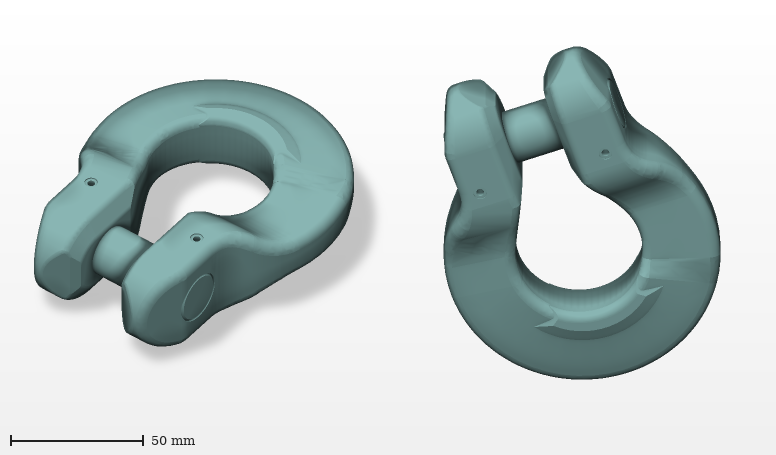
import cadquery as cq
import math


BOW_Y = 54.0
BOW_RADIUS = 52.0
EYE_Y = 50.4
EYE_RADIUS = 23.9

LEG_OUTER_X = 33.0
LEG_INNER_X = 9.5
LEG_HALF_HEIGHT = 19.0
SLOPE_START_Y = 15.3
SLOPE_END_Y = 41.3
TIP_Y = -7.0
CHAMFER_WIDTH = 4.5
CHAMFER_DEPTH = 7.4

SHOULDER_RADIUS = 33.0
NECK_RADIUS = 15.8
NECK_ANGLE = math.radians(45)
NECK_Y = 8.6
LEG_SIDE_END = (LEG_OUTER_X, TIP_Y)
TIP_TAPER_START = (32.5, -9.6)
TIP_OUTER = (24.7, -28.4)
TIP_INNER = (23.5, -27.3)
TIP_HEEL = (12.4, -19.9)
TIP_HEEL_TOP = (LEG_INNER_X, -16.9)
THROAT = (LEG_INNER_X, 13.7)

RIM_HALF_HEIGHT = 5.0
CONE_SLOPE = 0.245
APEX_HALF_HEIGHT = RIM_HALF_HEIGHT + CONE_SLOPE * BOW_RADIUS
FLAT_HALF_HEIGHT = 8.2
FLAT_END_ANGLE = 17.5
CONE_START_ANGLE = 31.6
CONE_END_ANGLE = 180.0

SEAT_HALF_HEIGHT = 12.4
SEAT_BASE_Z = 9.8
SEAT_BASE_RADIUS = 32.3
SEAT_HALF_ANGLE = 54.0
SEAT_TAPER = 63.0

OUTER_FILLET = 4.0
INNER_FILLET = 3.3
TIP_FILLET = 2.0

PIN_RADIUS = 10.0
PIN_CHAMFER = 0.9
LOCK_X = 25.0
LOCK_Y = 9.5
LOCK_RADIUS = 2.5
LOCK_BORE_RADIUS = 1.5
LOCK_HALF_LENGTH = 18.5

REACH = 79.2
BLANK_INNER_RADIUS = 13.2
BLANK_OUTER_RADIUS = BOW_RADIUS + 2.6


def circle_point(center_y, radius, angle):
    return (radius * math.cos(angle), center_y + radius * math.sin(angle))


def neck_point(angle):
    """Point on the concave neck arc, at an angle from its lower end."""
    return (
        LEG_OUTER_X + NECK_RADIUS * (1 - math.cos(angle)),
        NECK_Y + NECK_RADIUS * math.sin(angle),
    )


def prism(center_y, radius):
    """Tall round prism along Z, centred on X = 0."""
    return cq.Workplane(origin=(0, center_y, -REACH)).circle(radius).extrude(2 * REACH)


def outline_prism():
    """Tall prism of the whole shackle's outline."""
    neck_top = neck_point(NECK_ANGLE)
    normal = (math.cos(NECK_ANGLE), -math.sin(NECK_ANGLE))
    neck_distance = normal[0] * neck_top[0] + normal[1] * (neck_top[1] - BOW_Y)
    shoulder_offset = BOW_RADIUS - SHOULDER_RADIUS
    bow_end = NECK_ANGLE - math.acos((neck_distance - SHOULDER_RADIUS) / shoulder_offset)
    shoulder_x, shoulder_y = circle_point(BOW_Y, shoulder_offset, -bow_end)
    shoulder_end = (
        shoulder_x + SHOULDER_RADIUS * normal[0],
        shoulder_y + SHOULDER_RADIUS * normal[1],
    )
    throat_drop = EYE_Y - THROAT[1]
    throat_distance = math.hypot(THROAT[0], throat_drop)
    eye_end = math.acos(EYE_RADIUS / throat_distance) - math.atan2(throat_drop, THROAT[0])

    top = math.pi / 2
    half = (
        cq.Workplane(origin=(0, 0, -REACH))
        .moveTo(0, BOW_Y + BOW_RADIUS)
        .threePointArc(
            circle_point(BOW_Y, BOW_RADIUS, (top - bow_end) / 2),
            circle_point(BOW_Y, BOW_RADIUS, -bow_end),
        )
        .tangentArcPoint(shoulder_end, relative=False)
        .lineTo(*neck_top)
        .threePointArc(neck_point(NECK_ANGLE / 2), (LEG_OUTER_X, NECK_Y))
        .lineTo(*LEG_SIDE_END)
        .tangentArcPoint(TIP_TAPER_START, relative=False)
        .lineTo(*TIP_OUTER)
        .lineTo(*TIP_INNER)
        .lineTo(*TIP_HEEL)
        .lineTo(*TIP_HEEL_TOP)
        .lineTo(*THROAT)
        .lineTo(*circle_point(EYE_Y, EYE_RADIUS, eye_end))
        .threePointArc(
            circle_point(EYE_Y, EYE_RADIUS, (top + eye_end) / 2),
            (0, EYE_Y + EYE_RADIUS),
        )
        .wire()
        .val()
    )
    whole = cq.Wire.assembleEdges(half.Edges() + half.mirror("YZ").Edges())
    return cq.Workplane(cq.Solid.extrudeLinear(whole, [], cq.Vector(0, 0, 2 * REACH)))


def leg_profile(x, bow_half_height):
    """YZ section of a leg: half-round tip, flat, S-shaped slope, then the bow's thickness."""
    top = LEG_HALF_HEIGHT
    slope_middle_y = (SLOPE_START_Y + SLOPE_END_Y) / 2
    slope_middle_z = (top + bow_half_height) / 2
    return (
        cq.Workplane("YZ", origin=(x, 0, 0))
        .moveTo(TIP_Y, -top)
        .threePointArc((TIP_Y - top, 0), (TIP_Y, top))
        .lineTo(SLOPE_START_Y, top)
        .tangentArcPoint((slope_middle_y, slope_middle_z), relative=False)
        .tangentArcPoint((SLOPE_END_Y, bow_half_height), relative=False)
        .lineTo(BOW_Y, bow_half_height)
        .lineTo(BOW_Y, -bow_half_height)
        .lineTo(SLOPE_END_Y, -bow_half_height)
        .tangentArcPoint((slope_middle_y, -slope_middle_z), relative=False)
        .tangentArcPoint((SLOPE_START_Y, -top), relative=False)
        .close()
    )


def gap_chamfer_cutters():
    """Wedges that chamfer the right leg beside the gap: along its top, bottom and round its tip."""
    inner_x = LEG_INNER_X - CHAMFER_WIDTH
    outer_x = LEG_INNER_X + 3 * CHAMFER_WIDTH
    low_z = LEG_HALF_HEIGHT - 2 * CHAMFER_DEPTH
    high_z = LEG_HALF_HEIGHT + 2 * CHAMFER_DEPTH
    corners = [(inner_x, low_z), (inner_x, high_z), (outer_x, high_z)]
    at_tip = cq.Workplane("XZ", origin=(0, TIP_Y, 0))
    above = at_tip.polyline(corners).close().extrude(TIP_Y - SLOPE_END_Y)
    around_tip = at_tip.polyline(corners).close().revolve(180, (0, 0, 0), (1, 0, 0))
    return [above, above.mirror("XY"), around_tip]


def round_edges(solid, radius, seed_points):
    """Fillet the tangent chains of edges that run past the given points and their mirrors in Z = 0."""
    seeds = []
    for x, y, z in seed_points:
        for seed_z in {z, -z}:
            seeds += solid.edges(cq.selectors.NearestToPointSelector((x, y, seed_z))).vals()
    return cq.Workplane(solid.val().fillet(radius, seeds).Solids()[0])


def finish_leg(blank, side, bow_half_height):
    """Trim, chamfer and round the leg on one side: 1 for right, -1 for left."""
    leg = blank.intersect(outline_prism())
    for cutter in gap_chamfer_cutters():
        leg = leg.cut(cutter if side > 0 else cutter.mirror("YZ"))
    outer_edge = (side * LEG_OUTER_X, 0, LEG_HALF_HEIGHT)
    chamfer_top = (side * (LEG_INNER_X + CHAMFER_WIDTH), 0, LEG_HALF_HEIGHT)
    chamfer_foot = (side * LEG_INNER_X, 0, LEG_HALF_HEIGHT - CHAMFER_DEPTH)
    eye_edge = (side * EYE_RADIUS, (SLOPE_END_Y + BOW_Y) / 2, bow_half_height)
    tip_edge = (side * (TIP_HEEL[0] + TIP_INNER[0]) / 2, TIP_Y - LEG_HALF_HEIGHT, 0)
    leg = round_edges(leg, OUTER_FILLET, [outer_edge])
    leg = round_edges(leg, INNER_FILLET, [eye_edge, chamfer_top, chamfer_foot])
    return round_edges(leg, TIP_FILLET, [tip_edge])


def right_leg():
    blank = leg_profile(0, FLAT_HALF_HEIGHT).extrude(REACH)
    return finish_leg(blank, 1, FLAT_HALF_HEIGHT)


def left_leg():
    """Its thickness tapers along X so that it runs smoothly into the cone of the bow."""
    sections = [
        leg_profile(-BOW_RADIUS, RIM_HALF_HEIGHT).wire().val(),
        leg_profile(0, APEX_HALF_HEIGHT).wire().val(),
    ]
    blank = cq.Workplane(cq.Solid.makeLoft(sections, True))
    return finish_leg(blank, -1, cone_half_height(EYE_RADIUS))


def cone_half_height(radius):
    return APEX_HALF_HEIGHT - CONE_SLOPE * radius


def bow_section(angle, inner_half_height, outer_half_height):
    """Radial section of the untrimmed bow, at an angle in degrees from +X."""
    corners = [
        (BLANK_INNER_RADIUS, -inner_half_height),
        (BLANK_OUTER_RADIUS, -outer_half_height),
        (BLANK_OUTER_RADIUS, outer_half_height),
        (BLANK_INNER_RADIUS, inner_half_height),
    ]
    points = []
    for radius, z in corners:
        x, y = circle_point(BOW_Y, radius, math.radians(angle))
        points.append(cq.Vector(x, y, z))
    return cq.Wire.makePolygon(points, close=True)


def flat_section(angle):
    return bow_section(angle, FLAT_HALF_HEIGHT, FLAT_HALF_HEIGHT)


def cone_section(angle):
    return bow_section(angle, cone_half_height(BLANK_INNER_RADIUS), cone_half_height(BLANK_OUTER_RADIUS))


def turn_about_bow(section, angle):
    axis_start = cq.Vector(0, BOW_Y, 0)
    axis_end = cq.Vector(0, BOW_Y, 1.3)
    return cq.Solid.revolve(section, [], angle, axis_start, axis_end)


def finish_bow(blank, middle_angle, eye_half_height, rim_half_height):
    """Trim a stretch of the bow to its two circles and round its edges."""
    ring = prism(BOW_Y, BOW_RADIUS).cut(prism(EYE_Y, EYE_RADIUS))
    stretch = cq.Workplane(blank).intersect(ring)
    middle = math.radians(middle_angle)
    rim_edge = (*circle_point(BOW_Y, BOW_RADIUS, middle), rim_half_height)
    eye_edge = (*circle_point(EYE_Y, EYE_RADIUS, middle), eye_half_height)
    stretch = round_edges(stretch, OUTER_FILLET, [rim_edge])
    return round_edges(stretch, INNER_FILLET, [eye_edge])


def bow_stretches():
    """Flat stretch, ruled blend and conical stretch, in order from the right leg."""
    flat = turn_about_bow(flat_section(0), FLAT_END_ANGLE)
    blend = cq.Solid.makeLoft([flat_section(FLAT_END_ANGLE), cone_section(CONE_START_ANGLE)], True)
    cone = turn_about_bow(cone_section(CONE_START_ANGLE), CONE_END_ANGLE - CONE_START_ANGLE)
    eye_cone = cone_half_height(EYE_RADIUS)
    eye_blend = (FLAT_HALF_HEIGHT + eye_cone) / 2
    rim_blend = (FLAT_HALF_HEIGHT + RIM_HALF_HEIGHT) / 2
    return [
        finish_bow(flat, FLAT_END_ANGLE / 2, FLAT_HALF_HEIGHT, FLAT_HALF_HEIGHT),
        finish_bow(blend, (FLAT_END_ANGLE + CONE_START_ANGLE) / 2, eye_blend, rim_blend),
        finish_bow(cone, 90, eye_cone, RIM_HALF_HEIGHT),
    ]


def seat():
    """Raised pad above and below the crown of the eye, with sloping flanks."""
    start = math.radians(90 - SEAT_HALF_ANGLE)
    end = math.radians(90 + SEAT_HALF_ANGLE)

    def sector(z):
        return (
            cq.Workplane(origin=(0, 0, z))
            .moveTo(*circle_point(BOW_Y, BLANK_INNER_RADIUS, start))
            .lineTo(*circle_point(BOW_Y, SEAT_BASE_RADIUS, start))
            .threePointArc((0, BOW_Y + SEAT_BASE_RADIUS), circle_point(BOW_Y, SEAT_BASE_RADIUS, end))
            .lineTo(*circle_point(BOW_Y, BLANK_INNER_RADIUS, end))
            .close()
        )

    core = sector(-SEAT_BASE_Z).extrude(2 * SEAT_BASE_Z)
    pad = sector(SEAT_BASE_Z).extrude(SEAT_HALF_HEIGHT - SEAT_BASE_Z, taper=SEAT_TAPER)
    pads = core.union(pad).union(pad.mirror("XY")).cut(prism(EYE_Y, EYE_RADIUS))
    return round_edges(pads, INNER_FILLET, [(0, EYE_Y + EYE_RADIUS, SEAT_HALF_HEIGHT)])


def load_cylinder(half_length):
    return (
        cq.Workplane("YZ", origin=(-half_length, 0, 0))
        .circle(PIN_RADIUS)
        .extrude(2 * half_length)
    )


def lock_cylinder(side, radius, half_length):
    return (
        cq.Workplane(origin=(side * LOCK_X, LOCK_Y, -half_length))
        .circle(radius)
        .extrude(2 * half_length)
    )


def make_shackle():
    flat, blend, cone = bow_stretches()
    body = cone
    for piece in (seat(), blend, flat, right_leg(), left_leg()):
        body = body.union(piece, clean=False)
    body = body.cut(load_cylinder(REACH))
    for side in (-1, 1):
        body = body.cut(lock_cylinder(side, LOCK_RADIUS, REACH))
    return body


def make_load_pin():
    """Round pin with chamfered ends, notched where the lock pins pass."""
    pin = load_cylinder(LEG_OUTER_X).faces("<X or >X").chamfer(PIN_CHAMFER)
    for side in (-1, 1):
        pin = pin.cut(lock_cylinder(side, LOCK_RADIUS, REACH))
    return pin


def make_lock_pin(side):
    """Tubular pin, slightly below the faces of its leg."""
    tube = lock_cylinder(side, LOCK_RADIUS, LOCK_HALF_LENGTH)
    return tube.cut(lock_cylinder(side, LOCK_BORE_RADIUS, LOCK_HALF_LENGTH))


shackle = make_shackle()
load_pin = make_load_pin()
lock_pins = [make_lock_pin(side) for side in (-1, 1)]

result = cq.Compound.makeCompound([shackle.val(), load_pin.val(), *[pin.val() for pin in lock_pins]])